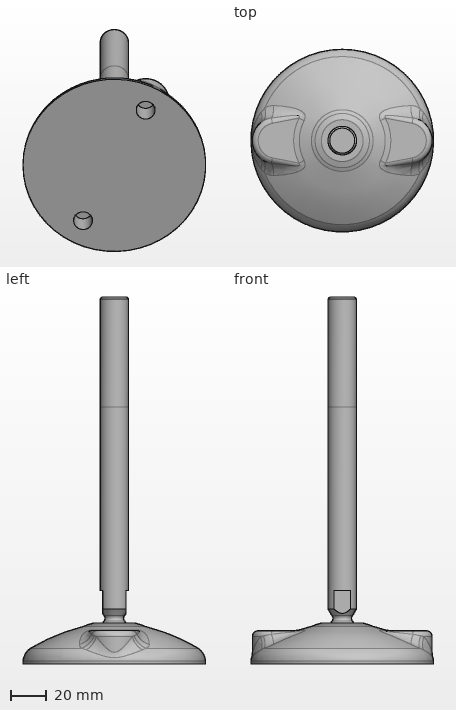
import cadquery as cq
import math


pad_radius = 51.0
rim_height = 1.8
dome_edge_radius = 47.0
dome_edge_height = 8.8
rim_bulge_radius = 49.6
rim_bulge_height = 6.0
dome_mid_radius = 32.5
dome_mid_height = 16.0
collar_base_radius = 17.2
collar_base_height = 21.1
collar_top_radius = 15.2
collar_top_height = 22.0
crown_radius = 11.7
pad_height = 23.0

lug_offset = 37.1
lug_end_radius = 13.1
lug_height = 18.7
lug_splay = 11.0
lug_inner_x = 16.5
lug_top_fillet = 3.3
lug_root_fillet = 10.2
lug_hole_diameter = 10.5
lug_skin = 0.8

tolerance = 0.02

stem_height = 205.0
stem_radius = 8.0
tip_radius = 7.0
tip_chamfer = stem_radius - tip_radius
thread_start = 143.5
flats_top = 41.0
flats_width = 13.1
taper_top = 30.8
neck_top = 27.0
neck_bottom = 24.0
neck_radius = 5.85
groove_radius = 5.23
foot_radius = 6.5
socket_floor = 16.5


def make_dome():
    """Revolved pad body, with a rounded rim and a low crown."""
    return (
        cq.Workplane("XZ")
        .lineTo(pad_radius, 0)
        .lineTo(pad_radius, rim_height)
        .threePointArc((rim_bulge_radius, rim_bulge_height), (dome_edge_radius, dome_edge_height))
        .threePointArc((dome_mid_radius, dome_mid_height), (collar_base_radius, collar_base_height))
        .lineTo(collar_top_radius, collar_top_height)
        .lineTo(crown_radius, pad_height)
        .lineTo(0, pad_height)
        .close()
        .revolve(360, (0, 0, 0), (0, 1, 0))
        .rotate((0, 0, 0), (0, 0, 1), 90)
    )


def make_lug(side):
    """Round-ended lug whose straight sides splay towards the pad axis."""
    splay = math.radians(lug_splay)
    tangent_x = lug_offset + lug_end_radius * math.sin(splay)
    tangent_y = lug_end_radius * math.cos(splay)
    inner_y = tangent_y + (tangent_x - lug_inner_x) * math.tan(splay)
    return (
        cq.Workplane("XY")
        .workplane(offset=rim_height)
        .moveTo(side * lug_inner_x, -inner_y)
        .lineTo(side * tangent_x, -tangent_y)
        .threePointArc((side * (lug_offset + lug_end_radius), 0), (side * tangent_x, tangent_y))
        .lineTo(side * lug_inner_x, inner_y)
        .close()
        .extrude(lug_height - rim_height)
    )


def add_lug(pad, side):
    """Join one lug to the pad, round its top rim and blend its root, then bore it from below."""
    pad = pad.union(make_lug(side))
    top_rim = pad.edges("#Z").filter(
        lambda edge: edge.BoundingBox().zmin > lug_height - tolerance
        and edge.BoundingBox().zmax < lug_height + tolerance
        and side * edge.Center().x > lug_inner_x
    )
    pad = top_rim.fillet(lug_top_fillet)
    root = pad.edges("%BSPLINE").filter(
        lambda edge: side * edge.Center().x > lug_inner_x
        and edge.BoundingBox().zmin < lug_height - lug_top_fillet - tolerance
    )
    pad = root.fillet(lug_root_fillet)
    hole = (
        cq.Workplane("XY")
        .center(side * lug_offset, 0)
        .circle(lug_hole_diameter / 2)
        .extrude(lug_height - lug_skin)
    )
    return pad.cut(hole)


def make_pad():
    """Dome with a lug on each side and a blind socket for the stem."""
    pad = make_dome()
    for side in (1, -1):
        pad = add_lug(pad, side)
    socket = (
        cq.Workplane("XY")
        .workplane(offset=socket_floor)
        .circle(foot_radius)
        .extrude(pad_height - socket_floor)
    )
    return pad.cut(socket)


def make_stem():
    """Turned stem with a chamfered tip, a grooved neck and two wrench flats."""
    stem = (
        cq.Workplane("XZ")
        .moveTo(0, socket_floor)
        .lineTo(foot_radius, socket_floor)
        .lineTo(foot_radius, pad_height)
        .lineTo(neck_radius, neck_bottom)
        .threePointArc((groove_radius, (neck_bottom + neck_top) / 2), (neck_radius, neck_top))
        .lineTo(stem_radius, taper_top)
        .lineTo(stem_radius, thread_start)
        .lineTo(stem_radius, stem_height - tip_chamfer)
        .lineTo(tip_radius, stem_height)
        .lineTo(0, stem_height)
        .close()
        .revolve(360, (0, 0, 0), (0, 1, 0), clean=False)
    )
    for side in (1, -1):
        flat_cut = (
            cq.Workplane("XY")
            .workplane(offset=neck_bottom)
            .center(0, side * (flats_width / 2 + stem_radius / 2))
            .rect(2 * stem_radius, stem_radius)
            .extrude(flats_top - neck_bottom)
        )
        stem = stem.cut(flat_cut, clean=False)
    return stem


pad = make_pad()
stem = make_stem()

result = cq.Compound.makeCompound([pad.val(), stem.val()])